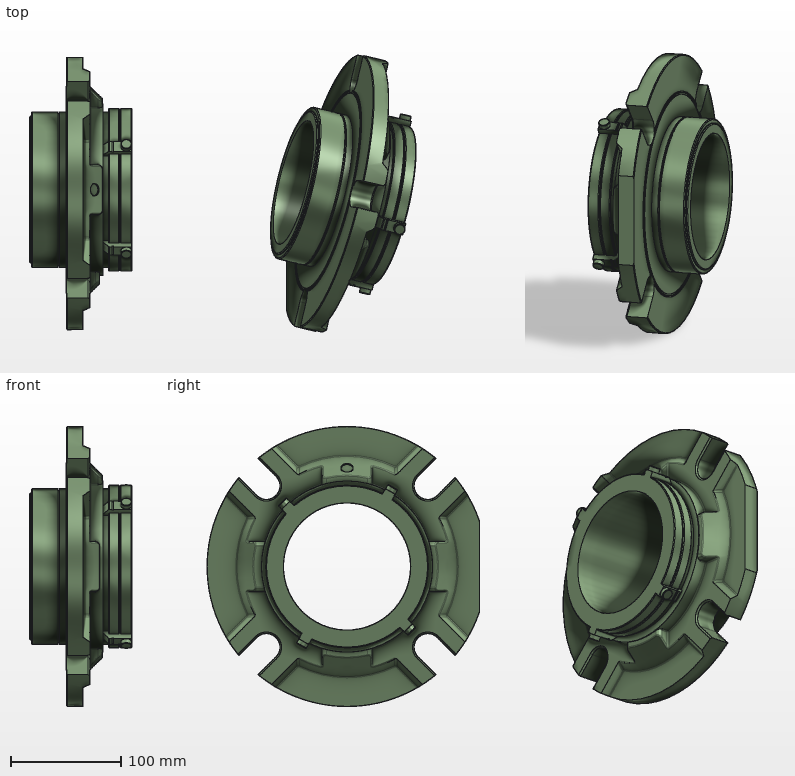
import cadquery as cq
import math

LENGTH = 92.63
BORE_DIAMETER = 115.01

END_LIP_DIAMETER = 133.32
END_LIP_LENGTH = 1.6
NECK_DIAMETER = 141.28
NECK_RELIEF_DIAMETER = 138.19
NECK_RELIEF_START = 25.5
NECK_RELIEF_END = 27.0
NECK_ROOT_DIAMETER = 141.17
NECK_CHAMFER = 0.9

FLANGE_DIAMETER = 253.75
FLANGE_FRONT = 33.6
FLANGE_BACK = 48.3
FLANGE_CHAMFER = 0.8
FLANGE_FLAT_Y = 120.0
RAISED_FACE_RADIUS = 93.6
RAISED_FACE_HEIGHT = 0.8
FACE_GROOVE_INNER_RADIUS = 181.74 / 2
FACE_GROOVE_WIDTH = 1.5
FACE_GROOVE_DEPTH = 0.4

SLOT_ANGLES = (45, 135, 225, 315)
SLOT_WIDTH = 24.6
SLOT_CENTER_RADIUS = 103.4
SLOT_CHAMFER = 1.5
PAD_BACK = 54.5
PAD_BASE_WIDTH = 64.4
PAD_TOP_WIDTH = 54.4

HUB_RADIUS = 77.5
HUB_BACK = 66.6
CONE_BASE_RADIUS = 100.2
LUG_WIDTH = 45.0
LUGS = ((0, 66.0), (90, 66.0), (180, 63.5), (270, 66.0))
LUG_CORNER_RADIUS = 4.0
HUB_FILLET = 1.2
LUG_EDGE_FILLET = 1.5
FOOT_FILLET = 1.4
PAD_CORNER_FILLET = 3.0
PORT_DIAMETER = 11.0
PORT_DEPTH = 1.5
PORT_X = 59.0

SLEEVE_DIAMETER = 141.28
COLLAR_DIAMETER = 147.47
FIRST_COLLAR_START = 71.5
FIRST_COLLAR_END = 81.2
SECOND_COLLAR_START = 82.2
COLLAR_CHAMFER = 0.8

CLIP_ANGLES = (60, 135, 240, 315)
CLIP_WIDTH = 10.4
CLIP_TOP_RADIUS = 78.5
CLIP_TOE_RADIUS = 72.5
CLIP_BEVEL = 1.0
CLIP_GROOVE_START = 74.8
CLIP_GROOVE_WIDTH = 1.2
CLIP_GROOVE_DEPTH = 1.0
SCREW_HEAD_DIAMETER = 10.0
SCREW_HEAD_TOP_RADIUS = 83.0
SCREW_HEAD_CHAMFER = 0.5
SCREW_X = LENGTH - SCREW_HEAD_DIAMETER / 2

TOLERANCE = 0.01
CONE_TOLERANCE = 0.05
BORE_RADIUS = BORE_DIAMETER / 2
X_AXIS_START = (0, 0, 0)
X_AXIS_END = (1, 0, 0)


def turn(shape, angle):
    """Rotate a shape about the X axis; +Y is 0 degrees and +Z is 90 degrees."""
    return shape.rotate(X_AXIS_START, X_AXIS_END, angle)


def disc(start, end, radius):
    """Solid disc around the X axis from x = start to x = end."""
    return cq.Workplane("YZ", origin=(start, 0, 0)).circle(radius).extrude(end - start)


def ring(start, end, radius, inner_radius=BORE_RADIUS):
    """Ring around the X axis from x = start to x = end."""
    return disc(start, end, radius).cut(disc(start, end, inner_radius))


def chamfered_ring(start, end, radius, size, edges):
    """Ring whose outer edges on the selected faces are chamfered."""
    outside = disc(start, end, radius).faces(edges).edges().chamfer(size)
    return outside.cut(disc(start, end, BORE_RADIUS))


def make_neck():
    """Stepped neck with a reduced end lip and a relief groove near its root."""
    lip_end = END_LIP_LENGTH + NECK_CHAMFER
    neck = chamfered_ring(0, lip_end, END_LIP_DIAMETER / 2, NECK_CHAMFER, "<X")
    barrel = chamfered_ring(END_LIP_LENGTH, NECK_RELIEF_START, NECK_DIAMETER / 2, NECK_CHAMFER, "<X")
    relief = ring(NECK_RELIEF_START, NECK_RELIEF_END, NECK_RELIEF_DIAMETER / 2)
    root = ring(NECK_RELIEF_END, FLANGE_FRONT, NECK_ROOT_DIAMETER / 2)
    return neck.union(barrel).union(relief).union(root)


def make_pad():
    """Pad of trapezoidal section running radially along +Y, centred on a slot."""
    length = FLANGE_DIAMETER / 2
    return (
        cq.Workplane("XZ")
        .moveTo(FLANGE_FRONT + FLANGE_CHAMFER, -PAD_BASE_WIDTH / 2)
        .lineTo(FLANGE_BACK, -PAD_BASE_WIDTH / 2)
        .lineTo(PAD_BACK, -PAD_TOP_WIDTH / 2)
        .lineTo(PAD_BACK, PAD_TOP_WIDTH / 2)
        .lineTo(FLANGE_BACK, PAD_BASE_WIDTH / 2)
        .lineTo(FLANGE_FRONT + FLANGE_CHAMFER, PAD_BASE_WIDTH / 2)
        .close()
        .extrude(-length)
    )


def slot_outline(start, width):
    """Open-ended slot sketch along +Y with a round inner end."""
    half = width / 2
    outer = FLANGE_DIAMETER
    return (
        cq.Workplane("YZ", origin=(start, 0, 0))
        .moveTo(outer, -half)
        .lineTo(SLOT_CENTER_RADIUS, -half)
        .threePointArc((SLOT_CENTER_RADIUS - half, 0), (SLOT_CENTER_RADIUS, half))
        .lineTo(outer, half)
        .close()
    )


def make_slot_cutter():
    """Through slot, flared to a chamfer at the back face of its pad."""
    through = slot_outline(0, SLOT_WIDTH).extrude(LENGTH)
    flare = slot_outline(PAD_BACK, SLOT_WIDTH + 2 * SLOT_CHAMFER).extrude(-2 * SLOT_CHAMFER, taper=45)
    return through, flare


def make_flange():
    """Flange with four pads, a grooved raised front face and a flat on the +Y side."""
    radius = FLANGE_DIAMETER / 2
    flange = chamfered_ring(FLANGE_FRONT, FLANGE_BACK, radius, FLANGE_CHAMFER, "<X")
    rim = ring(FLANGE_FRONT, PAD_BACK, radius)
    pad = make_pad()
    for angle in SLOT_ANGLES:
        flange = flange.union(turn(pad, angle).intersect(rim))

    raised_front = FLANGE_FRONT - RAISED_FACE_HEIGHT
    flange = flange.union(ring(raised_front, FLANGE_FRONT, RAISED_FACE_RADIUS))
    groove_outer_radius = FACE_GROOVE_INNER_RADIUS + FACE_GROOVE_WIDTH
    groove_floor = raised_front + FACE_GROOVE_DEPTH
    flange = flange.cut(ring(raised_front, groove_floor, groove_outer_radius, FACE_GROOVE_INNER_RADIUS))
    beyond_flat = cq.Workplane("XY").box(LENGTH, radius, 2 * radius, centered=(False, False, True))
    return flange.cut(beyond_flat.translate((0, FLANGE_FLAT_Y, 0)))


def make_cone():
    """Cone at 45 degrees that bounds the foot and the lugs, from the flange back to its tip."""
    return (
        cq.Workplane("XY")
        .moveTo(FLANGE_FRONT, 0)
        .lineTo(FLANGE_FRONT, CONE_BASE_RADIUS)
        .lineTo(FLANGE_BACK, CONE_BASE_RADIUS)
        .lineTo(FLANGE_BACK + CONE_BASE_RADIUS, 0)
        .close()
        .revolve(360, X_AXIS_START, X_AXIS_END)
    )


def fillet_edges(body, radius, belongs):
    """Fillet every edge whose middle, given as x and distance from the axis, satisfies belongs."""
    chosen = []
    for edge in body.edges().vals():
        middle = edge.positionAt(0.5)
        if belongs(middle.x, math.hypot(middle.y, middle.z)):
            chosen.append(edge)
    return body.newObject(chosen).fillet(radius)


def is_on_cone(x, radius):
    """Whether a point at x and this distance from the axis lies on the 45 degree cone."""
    return abs(x - FLANGE_BACK + radius - CONE_BASE_RADIUS) < CONE_TOLERANCE


def make_lug_end_cutter(back):
    """Space beyond the rounded end of a lug along +Y, outside the hub."""
    depth = 2 * LUG_CORNER_RADIUS
    height = 2 * CONE_BASE_RADIUS
    surround = (
        cq.Workplane("XY")
        .box(depth + LUG_CORNER_RADIUS, height, LUG_WIDTH + depth, centered=(False, False, True))
        .translate((back - LUG_CORNER_RADIUS, 0, 0))
    )
    rounded_end = (
        cq.Workplane("XY")
        .box(depth, height, LUG_WIDTH, centered=(False, False, True))
        .faces(">X")
        .edges("|Y")
        .fillet(LUG_CORNER_RADIUS)
        .translate((back - depth, 0, 0))
    )
    return surround.cut(rounded_end).cut(disc(0, LENGTH, HUB_RADIUS))


def make_hub():
    """Hub on a conical foot, with four lugs bounded by the same cone."""
    height = HUB_BACK - PAD_BACK
    blank_radius = 2 * CONE_BASE_RADIUS
    bar_length = 3 * CONE_BASE_RADIUS
    foot_plane = cq.Workplane("YZ", origin=(PAD_BACK, 0, 0))
    cross = foot_plane.circle(HUB_RADIUS).extrude(height)
    cross = cross.union(foot_plane.rect(LUG_WIDTH, bar_length).extrude(height))
    cross = cross.union(foot_plane.rect(bar_length, LUG_WIDTH).extrude(height))
    cross = fillet_edges(
        cross,
        HUB_FILLET,
        lambda x, radius: abs(x - (PAD_BACK + HUB_BACK) / 2) < TOLERANCE and radius < HUB_RADIUS + TOLERANCE,
    )
    plate = foot_plane.circle(blank_radius).extrude(FLANGE_FRONT - PAD_BACK)
    hub = plate.union(cross)
    hub = fillet_edges(
        hub,
        HUB_FILLET,
        lambda x, radius: abs(x - PAD_BACK) < TOLERANCE and radius < bar_length / 2,
    )
    for angle, back in LUGS:
        hub = hub.cut(turn(make_lug_end_cutter(back), angle))
    hub = hub.intersect(make_cone())
    return fillet_edges(
        hub,
        LUG_EDGE_FILLET,
        lambda x, radius: x > PAD_BACK + TOLERANCE and is_on_cone(x, radius),
    )


def make_filleted_body():
    """Flange and hub joined, with fillets around the recesses between the pads."""
    body = make_flange().union(make_hub())
    body = fillet_edges(
        body,
        PAD_CORNER_FILLET,
        lambda x, radius: FLANGE_BACK + TOLERANCE < x < PAD_BACK - TOLERANCE and is_on_cone(x, radius),
    )
    return fillet_edges(
        body,
        FOOT_FILLET,
        lambda x, radius: abs(x - FLANGE_BACK) < TOLERANCE and radius < CONE_BASE_RADIUS + TOLERANCE,
    )


def make_port():
    """Blind port in the +Z lug, square to the conical face."""
    surface_z = CONE_BASE_RADIUS - (PORT_X - FLANGE_BACK)
    inward = cq.Vector(-1, 0, -1)
    floor = cq.Vector(PORT_X, 0, surface_z) + inward.normalized() * PORT_DEPTH
    return cq.Workplane(cq.Solid.makeCylinder(PORT_DIAMETER / 2, LUG_WIDTH, floor, -inward))


def make_sleeve():
    """Sleeve carrying two chamfered collars."""
    sleeve = ring(HUB_BACK, LENGTH, SLEEVE_DIAMETER / 2)
    for start, end in ((FIRST_COLLAR_START, FIRST_COLLAR_END), (SECOND_COLLAR_START, LENGTH)):
        sleeve = sleeve.union(chamfered_ring(start, end, COLLAR_DIAMETER / 2, COLLAR_CHAMFER, "<X or >X"))
    return sleeve


def make_clip():
    """Setting clip along +Y with a sloping toe, a cross groove and a screw head."""
    groove_floor = CLIP_TOP_RADIUS - CLIP_GROOVE_DEPTH
    groove_end = CLIP_GROOVE_START + CLIP_GROOVE_WIDTH
    block = (
        cq.Workplane("XY")
        .moveTo(HUB_BACK, SLEEVE_DIAMETER / 2 - CLIP_BEVEL)
        .lineTo(HUB_BACK, CLIP_TOE_RADIUS)
        .lineTo(FIRST_COLLAR_START, CLIP_TOP_RADIUS - CLIP_BEVEL / 2)
        .lineTo(FIRST_COLLAR_START + CLIP_BEVEL, CLIP_TOP_RADIUS)
        .lineTo(CLIP_GROOVE_START, CLIP_TOP_RADIUS)
        .lineTo(CLIP_GROOVE_START, groove_floor)
        .lineTo(groove_end, groove_floor)
        .lineTo(groove_end, CLIP_TOP_RADIUS)
        .lineTo(LENGTH, CLIP_TOP_RADIUS)
        .lineTo(LENGTH, SLEEVE_DIAMETER / 2 - CLIP_BEVEL)
        .close()
        .extrude(CLIP_WIDTH / 2, both=True)
    )
    head = (
        cq.Workplane("XZ", origin=(SCREW_X, SLEEVE_DIAMETER / 2, 0))
        .circle(SCREW_HEAD_DIAMETER / 2)
        .extrude(-(SCREW_HEAD_TOP_RADIUS - SLEEVE_DIAMETER / 2))
        .faces(">Y")
        .edges()
        .chamfer(SCREW_HEAD_CHAMFER)
    )
    return block.union(head)


result = make_neck().union(make_filleted_body())
for slot_angle in SLOT_ANGLES:
    for cutter in make_slot_cutter():
        result = result.cut(turn(cutter, slot_angle))
result = result.union(make_sleeve())
for clip_angle in CLIP_ANGLES:
    result = result.union(turn(make_clip(), clip_angle))
result = result.cut(make_port()).cut(disc(0, LENGTH, BORE_RADIUS))